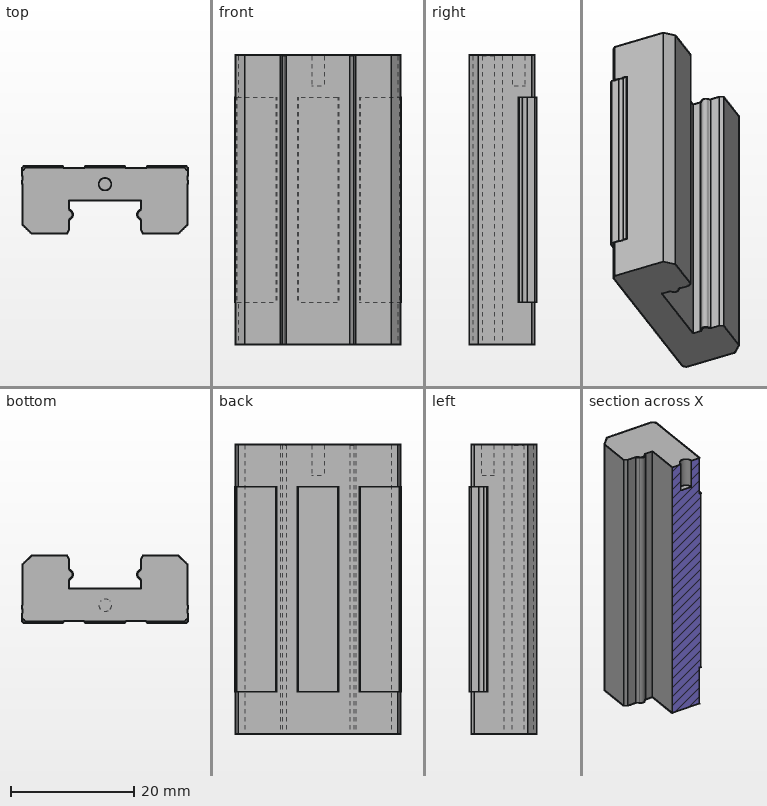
import cadquery as cq

length = 47.0
overall_width = 27.0
overall_height = 11.0

side_step = 0.1
pad_height = 0.35
body_half_width = overall_width / 2 - side_step
body_height = overall_height - pad_height
front_chamfer_x = 1.5
front_chamfer_y = 1.45
back_chamfer = 0.45

slot_half_width = 5.85
slot_depth = 5.35
slot_lip_x = 0.35
slot_lip_y = 0.6

ridge_center_y = 3.1
ridge_half_base = 0.95
ridge_half_nose = 0.55
ridge_flank_height = 0.38
ridge_height = 0.65
ridge_root = 0.45
ridge_end_chamfer = 0.1

plate_length = 33.28
plate_start = (length - plate_length) / 2
plate_half_width = overall_width / 2
plate_bottom_y = 8.0
plate_bottom_taper = 0.15
plate_chamfer = 0.35
channel_center_x = 5.05
channel_floor_width = 3.3
channel_flare = 0.2

side_groove_y = 9.02
side_groove_width = 0.8
side_groove_depth = 0.2

oil_hole_diameter = 2.0
oil_hole_y = 8.05
oil_hole_depth = 5.0


def make_body():
    """Extrude the body outline, chamfered along its four outer corners."""
    w, h = body_half_width, body_height
    outline = [
        (front_chamfer_x - w, 0),
        (w - front_chamfer_x, 0),
        (w, front_chamfer_y),
        (w, h - back_chamfer),
        (w - back_chamfer, h),
        (back_chamfer - w, h),
        (-w, h - back_chamfer),
        (-w, front_chamfer_y),
    ]
    return cq.Workplane("XY").polyline(outline).close().extrude(length)


def make_slot():
    """Rail slot with flared lips at its mouth."""
    w, mouth = slot_half_width, slot_half_width + slot_lip_x
    outline = [
        (-mouth, 0),
        (mouth, 0),
        (w, slot_lip_y),
        (w, slot_depth),
        (-w, slot_depth),
        (-w, slot_lip_y),
    ]
    return cq.Workplane("XY").polyline(outline).close().extrude(length)


def make_ridge(side):
    """Ridge with sloped flanks, a round nose and chamfered ends; side is 1 for +X and -1 for -X."""
    root_x = side * (slot_half_width + ridge_root)
    wall_x = side * slot_half_width
    flank_x = side * (slot_half_width - ridge_flank_height)
    tip_x = side * (slot_half_width - ridge_height)
    return (
        cq.Workplane("XY")
        .moveTo(root_x, ridge_center_y - ridge_half_base)
        .lineTo(wall_x, ridge_center_y - ridge_half_base)
        .lineTo(flank_x, ridge_center_y - ridge_half_nose)
        .threePointArc((tip_x, ridge_center_y), (flank_x, ridge_center_y + ridge_half_nose))
        .lineTo(wall_x, ridge_center_y + ridge_half_base)
        .lineTo(root_x, ridge_center_y + ridge_half_base)
        .close()
        .extrude(length)
        .faces("|Z")
        .chamfer(ridge_end_chamfer)
    )


def make_plate():
    """Plate outline with chamfered back corners, centered along the length."""
    w = plate_half_width
    shoulder_y = overall_height - plate_chamfer
    taper_y = plate_bottom_y + plate_bottom_taper
    return (
        cq.Workplane("XY", origin=(0, 0, plate_start))
        .moveTo(-body_half_width, plate_bottom_y)
        .lineTo(body_half_width, plate_bottom_y)
        .lineTo(w, taper_y)
        .lineTo(w, shoulder_y)
        .lineTo(w - plate_chamfer, overall_height)
        .lineTo(plate_chamfer - w, overall_height)
        .lineTo(-w, shoulder_y)
        .lineTo(-w, taper_y)
        .close()
        .extrude(plate_length)
    )


def make_channel(center_x):
    """Channel between two pads, flared toward the back."""
    half_floor = channel_floor_width / 2
    half_top = half_floor + channel_flare
    outline = [
        (center_x - half_floor, body_height),
        (center_x + half_floor, body_height),
        (center_x + half_top, overall_height),
        (center_x - half_top, overall_height),
    ]
    return cq.Workplane("XY").polyline(outline).close().extrude(length)


def make_side_groove(side):
    """Round groove along one side of the plate; side is 1 for +X and -1 for -X."""
    face_x = side * plate_half_width
    bottom_x = side * (plate_half_width - side_groove_depth)
    half_width = side_groove_width / 2
    return (
        cq.Workplane("XY", origin=(0, 0, plate_start))
        .moveTo(face_x, side_groove_y - half_width)
        .threePointArc((bottom_x, side_groove_y), (face_x, side_groove_y + half_width))
        .close()
        .extrude(plate_length)
    )


def make_oil_hole():
    """Blind hole going down from the upper end face."""
    return (
        cq.Workplane("XY", origin=(0, oil_hole_y, length))
        .circle(oil_hole_diameter / 2)
        .extrude(-oil_hole_depth)
    )


result = make_body().cut(make_slot())
result = result.union(make_plate())
for side in (-1, 1):
    result = result.union(make_ridge(side))
    result = result.cut(make_channel(side * channel_center_x))
    result = result.cut(make_side_groove(side))
result = result.cut(make_oil_hole())